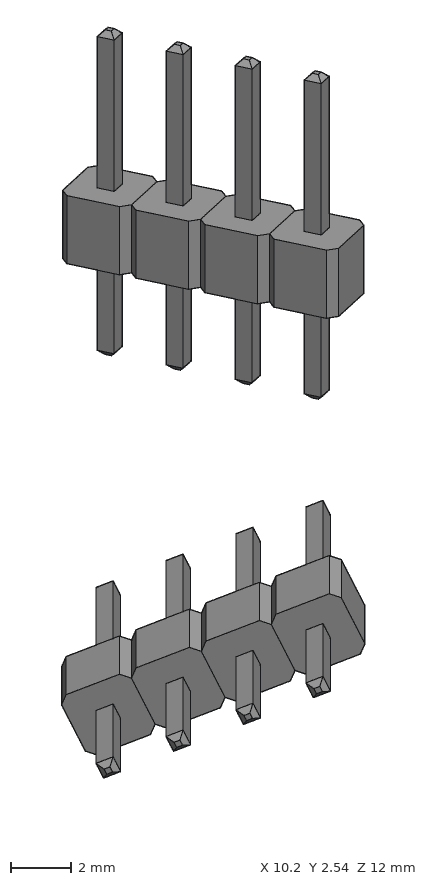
import cadquery as cq

position_count = 4
row_length = 10.16
pitch = row_length / position_count

block_height = 2.52
block_corner_chamfer = 0.3

pin_length = 12.0
pin_width = 0.62
pin_below_block = 3.68
tip_chamfer = 0.2


def make_block():
    """Square block with its four vertical corners cut off."""
    return (
        cq.Workplane("XY")
        .rect(pitch, pitch)
        .extrude(block_height)
        .edges("|Z")
        .chamfer(block_corner_chamfer)
    )


def make_pin():
    """Square pin with all edges of both end faces chamfered."""
    return (
        cq.Workplane("XY")
        .workplane(offset=-pin_below_block)
        .rect(pin_width, pin_width)
        .extrude(pin_length)
        .faces("<Z or >Z")
        .chamfer(tip_chamfer)
    )


def make_header_position(index):
    """One block and its pin as a single solid, at its place in the row along X."""
    x = (index - (position_count - 1) / 2) * pitch
    return make_block().union(make_pin()).translate((x, 0, 0))


header_positions = [make_header_position(index) for index in range(position_count)]

result = cq.Compound.makeCompound([position.val() for position in header_positions])